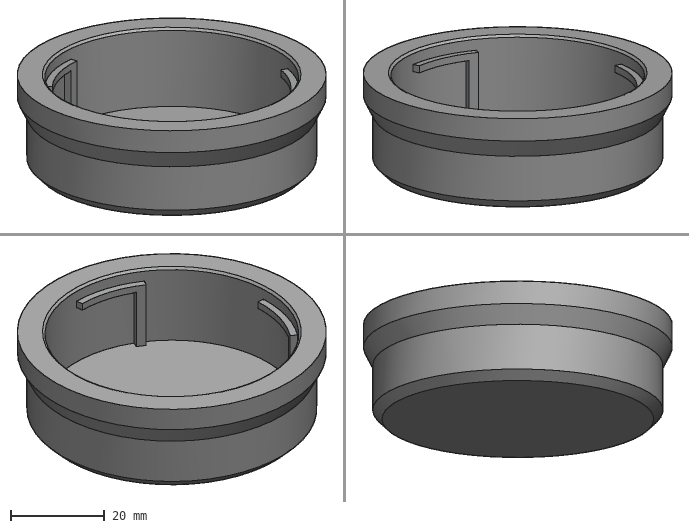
import cadquery as cq

flange_diameter = 66.0
body_diameter = 62.0
total_height = 21.0
flange_height = 5.0
taper_height = 4.0
base_chamfer = 2.0

bore_diameter = 54.2
floor_thickness = 3.05
mouth_chamfer = 0.5

rib_inner_radius = 25.5
rib_top_depth = 3.0
ledge_height = 1.6
ledge_angle = 36.2
leg_angle = 4.9
rib_start_angles = (43.2, 198.2, 308.4)
wall_overlap = 0.65

flange_radius = flange_diameter / 2
body_radius = body_diameter / 2
bore_radius = bore_diameter / 2
flange_bottom = total_height - flange_height
taper_bottom = flange_bottom - taper_height
rib_top = total_height - rib_top_depth
ledge_bottom = rib_top - ledge_height


def cup():
    """Flanged cup with a tapered flange underside, revolved about Z."""
    profile = [
        (0, 0),
        (body_radius - base_chamfer, 0),
        (body_radius, base_chamfer),
        (body_radius, taper_bottom),
        (flange_radius, flange_bottom),
        (flange_radius, total_height),
        (bore_radius + mouth_chamfer, total_height),
        (bore_radius, total_height - mouth_chamfer),
        (bore_radius, floor_thickness),
        (0, floor_thickness),
    ]
    return cq.Workplane("XZ").polyline(profile).close().revolve(360, (0, 0), (0, 1))


def ring_sector(bottom, top, start_angle, sweep_angle):
    """Rectangular section on the bore wall, swept counterclockwise from start_angle."""
    width = bore_radius + wall_overlap - rib_inner_radius
    middle_radius = rib_inner_radius + width / 2
    sector = (
        cq.Workplane("XZ")
        .center(middle_radius, (bottom + top) / 2)
        .rect(width, top - bottom)
        .revolve(sweep_angle, (-middle_radius, 0), (-middle_radius, 1))
    )
    return sector.rotate((0, 0, 0), (0, 0, 1), start_angle)


def bayonet_rib(start_angle):
    ledge = ring_sector(ledge_bottom, rib_top, start_angle, ledge_angle)
    leg = ring_sector(floor_thickness, rib_top, start_angle, leg_angle)
    return ledge.union(leg)


result = cup()
for rib_start in rib_start_angles:
    result = result.union(bayonet_rib(rib_start))